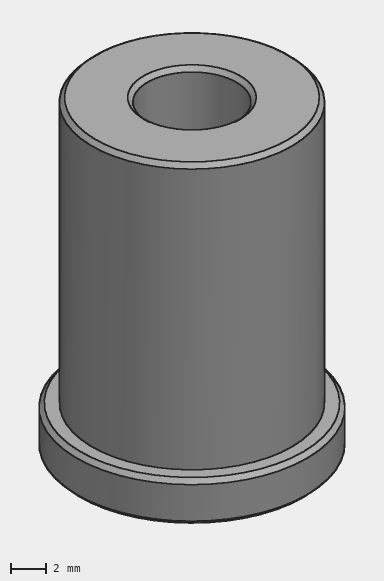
import cadquery as cq

total_height = 23.0
flange_diameter = 17.3
flange_height = 3.0
body_diameter = 15.0
bore_diameter = 6.67
edge_chamfer = 0.3


def chamfered_cylinder(diameter, height):
    """Upright cylinder on the XY plane with both rims chamfered."""
    return cq.Workplane("XY").circle(diameter / 2).extrude(height).edges("%CIRCLE").chamfer(edge_chamfer)


flange = chamfered_cylinder(flange_diameter, flange_height)
body = chamfered_cylinder(body_diameter, total_height)
bushing = flange.union(body)

bore = cq.Workplane("XY").circle(bore_diameter / 2).extrude(total_height)
result = bushing.cut(bore)
bore_mouths = result.faces("<Z or >Z").edges(cq.selectors.RadiusNthSelector(0))
result = bore_mouths.chamfer(edge_chamfer)